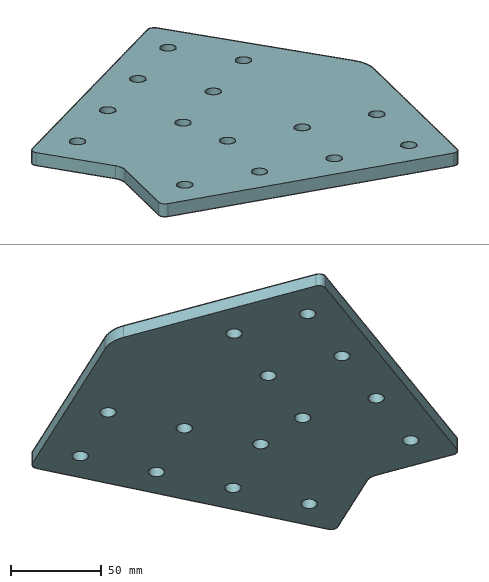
import cadquery as cq
import math

leg_length = 180.2
end_edge = 130.0
thickness = 8.0
leg_angle = 45.0
hole_diameter = 9.0
outer_margin = 19.5
outer_row_count = 4
inner_row_count = 3
corner_radius = 4.0
inner_radius = 10.0
apex_radius = 19.8

hole_pitch = leg_length / outer_row_count
half_angle = math.radians(leg_angle / 2)
inner_edge = end_edge - leg_length * math.tan(half_angle)

inner_corner = (inner_edge, 0)
apex = (end_edge, leg_length)


def mirrored(point):
    """Reflect a point of the left leg onto the angled leg."""
    dx = point[0] - apex[0]
    dy = point[1] - apex[1]
    cos_angle = math.cos(2 * half_angle)
    sin_angle = math.sin(2 * half_angle)
    return (
        apex[0] - dx * cos_angle + dy * sin_angle,
        apex[1] + dx * sin_angle + dy * cos_angle,
    )


def fillet_corners(plate, points, radius):
    """Round the vertical edges that stand at the given points."""
    for x, y in points:
        nearest = cq.selectors.NearestToPointSelector((x, y, thickness / 2))
        plate = plate.edges("|Z").edges(nearest).fillet(radius)
    return plate


def make_plate():
    left_corners = [(0, 0), (0, leg_length)]
    angled_corners = [mirrored(point) for point in left_corners]
    outline = [inner_corner, *left_corners, apex, *reversed(angled_corners)]
    plate = cq.Workplane("XY").polyline(outline).close().extrude(thickness)
    plate = fillet_corners(plate, left_corners + angled_corners, corner_radius)
    plate = fillet_corners(plate, [inner_corner], inner_radius)
    return fillet_corners(plate, [apex], apex_radius)


def hole_centers():
    """Two rows per leg, counted from the leg end; the inner row is shorter."""
    left_holes = []
    for row, count in enumerate((outer_row_count, inner_row_count)):
        for index in range(count):
            x = outer_margin + row * hole_pitch
            y = leg_length - (index + 0.5) * hole_pitch
            left_holes.append((x, y))
    return left_holes + [mirrored(point) for point in left_holes]


def drill_holes(plate):
    drills = (
        cq.Workplane("XY")
        .pushPoints(hole_centers())
        .circle(hole_diameter / 2)
        .extrude(thickness)
    )
    return plate.cut(drills)


result = drill_holes(make_plate())